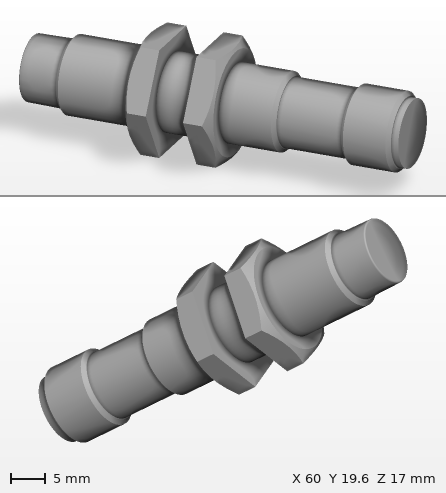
import cadquery as cq
import math

overall_length = 60.0
thread_diameter = 12.0
neck_diameter = 10.5
end_diameter = 10.4
tip_base_diameter = 10.4
tip_front_diameter = 10.15
tip_edge_radius = 0.25
tip_length = 6.0
thread_end = 40.85
collar_start = 51.0
collar_end = 58.9
thread_chamfer = 0.6

nut_across_flats = 17.0
nut_thickness = 4.0
nut_face_diameter = 16.0
nut_chamfer_angle = 30.0
front_nut_start = 18.1
nut_gap = 5.9


def cylinder(start, end, diameter):
    """Solid cylinder along X between two positions."""
    return cq.Workplane("YZ", origin=(start, 0, 0)).circle(diameter / 2).extrude(end - start)


def chamfered_cylinder(start, end):
    """Thread-diameter section with both end edges chamfered."""
    return cylinder(start, end, thread_diameter).faces("<X or >X").edges().chamfer(thread_chamfer)


def tapered_tip():
    """Sensing tip that widens towards the thread and has a rounded front edge."""
    tip = (
        cq.Workplane("YZ")
        .circle(tip_front_diameter / 2)
        .workplane(offset=tip_length)
        .circle(tip_base_diameter / 2)
        .loft(ruled=True)
    )
    return tip.faces("<X").edges().fillet(tip_edge_radius)


def nut(start):
    """Hexagonal nut whose corners are cut by a cone on the -X face."""
    across_corners = nut_across_flats / math.cos(math.radians(30))
    corner_radius = across_corners / 2
    face_radius = nut_face_diameter / 2
    cone_depth = (corner_radius - face_radius) * math.tan(math.radians(nut_chamfer_angle))
    end = start + nut_thickness
    hexagon = (
        cq.Workplane("YZ", origin=(start, 0, 0))
        .polygon(6, across_corners)
        .extrude(nut_thickness)
    )
    envelope = (
        cq.Workplane("XY")
        .moveTo(start, 0)
        .lineTo(start, face_radius)
        .lineTo(start + cone_depth, corner_radius)
        .lineTo(end, corner_radius)
        .lineTo(end, 0)
        .close()
        .revolve(360, (0, 0, 0), (1, 0, 0))
    )
    return hexagon.intersect(envelope)


threaded_body = chamfered_cylinder(tip_length, thread_end)
neck = cylinder(thread_end, collar_start, neck_diameter)
collar = chamfered_cylinder(collar_start, collar_end)
end_stub = cylinder(collar_end, overall_length, end_diameter)

front_nut = nut(front_nut_start)
mirror_plane_x = front_nut_start + nut_thickness + nut_gap / 2
rear_nut = front_nut.mirror("YZ", (mirror_plane_x, 0, 0))

result = tapered_tip()
for section in (threaded_body, neck, collar, end_stub, front_nut, rear_nut):
    result = result.union(section)